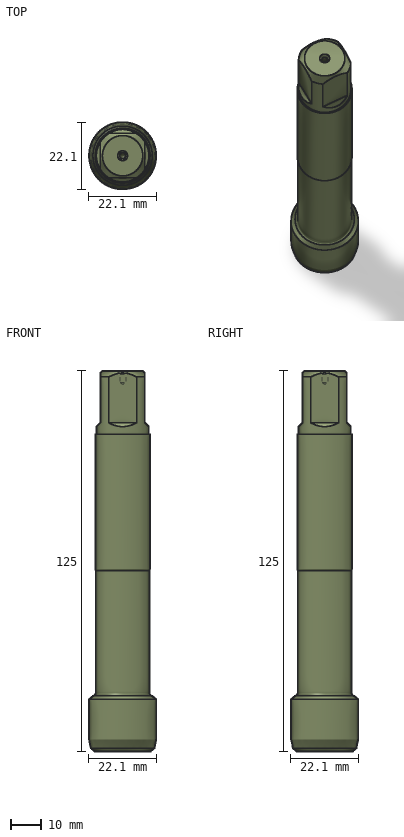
import cadquery as cq
import math

length = 125.0
joint_z = 59.4
head_fillet_z = 19.4
head_cone_z = 18.2
head_top_z = 17.1
lead_z = 4.0
lead_end_z = 1.1

head_d = 22.1
shoulder_d = 19.5
spindle_d = 17.8
shank_d = 18.0
neck_d = 17.2
lead_d = 21.0
end_d = 18.4

neck_z = 104.2
flat_z = 108.0
square_width = 14.6
end_chamfer = 2.0
shank_lower_chamfer_height = 0.6

hole_d = 2.0
hole_mouth_d = 3.2
hole_depth = 3.8
countersink_angle = 60.0
drill_point_angle = 118.0


def cone_height(diameter_change, included_angle):
    """Axial length over which a cone changes its diameter."""
    return diameter_change / 2 / math.tan(math.radians(included_angle / 2))


def make_head_spindle():
    """Plain spindle with an enlarged head that tapers at its lower end."""
    spindle_r = spindle_d / 2
    shoulder_r = shoulder_d / 2
    sag = 1 - math.sqrt(0.5)
    fillet_mid = (
        spindle_r + sag * (shoulder_r - spindle_r),
        head_cone_z + sag * (head_fillet_z - head_cone_z),
    )
    return (
        cq.Workplane("XZ")
        .lineTo(end_d / 2, 0)
        .lineTo(lead_d / 2, lead_end_z)
        .lineTo(head_d / 2, lead_z)
        .lineTo(head_d / 2, head_top_z)
        .lineTo(shoulder_r, head_cone_z)
        .threePointArc(fillet_mid, (spindle_r, head_fillet_z))
        .lineTo(spindle_r, joint_z)
        .lineTo(0, joint_z)
        .close()
        .revolve(360, (0, 0, 0), (0, 1, 0))
    )


def make_shank_blank():
    """Turned shank: main cylinder, stepped neck and chamfered ends."""
    neck_r = neck_d / 2
    shank_r = shank_d / 2
    return (
        cq.Workplane("XZ")
        .moveTo(0, joint_z)
        .lineTo(spindle_d / 2, joint_z)
        .lineTo(shank_r, joint_z + shank_lower_chamfer_height)
        .lineTo(shank_r, neck_z)
        .lineTo(neck_r, neck_z)
        .lineTo(neck_r, length - end_chamfer)
        .lineTo(neck_r - end_chamfer, length)
        .lineTo(0, length)
        .close()
        .revolve(360, (0, 0, 0), (0, 1, 0))
    )


def make_flat_cutter():
    """Prism that cuts one flat and its 45 degree run-out on the +X side."""
    flat_x = square_width / 2
    outer_x = shank_d / 2
    return (
        cq.Workplane("XZ")
        .moveTo(flat_x, length)
        .lineTo(flat_x, flat_z)
        .lineTo(outer_x, flat_z - (outer_x - flat_x))
        .lineTo(outer_x, length)
        .close()
        .extrude(shank_d / 2, both=True)
    )


def make_centre_hole():
    """Blind drilled hole with a countersunk mouth and a conical bottom."""
    countersink_z = length - cone_height(hole_mouth_d - hole_d, countersink_angle)
    hole_bottom_z = length - hole_depth
    return (
        cq.Workplane("XZ")
        .moveTo(0, length)
        .lineTo(hole_mouth_d / 2, length)
        .lineTo(hole_d / 2, countersink_z)
        .lineTo(hole_d / 2, hole_bottom_z)
        .lineTo(0, hole_bottom_z - cone_height(hole_d, drill_point_angle))
        .close()
        .revolve(360, (0, 0, 0), (0, 1, 0))
    )


def make_drive_shank():
    """Shank with a drive square and a centre hole at its upper end."""
    shank = make_shank_blank()
    for side in range(4):
        shank = shank.cut(make_flat_cutter().rotate((0, 0, 0), (0, 0, 1), 90 * side))
    return shank.cut(make_centre_hole())


head_spindle = make_head_spindle()
drive_shank = make_drive_shank()

result = cq.Compound.makeCompound([head_spindle.val(), drive_shank.val()])